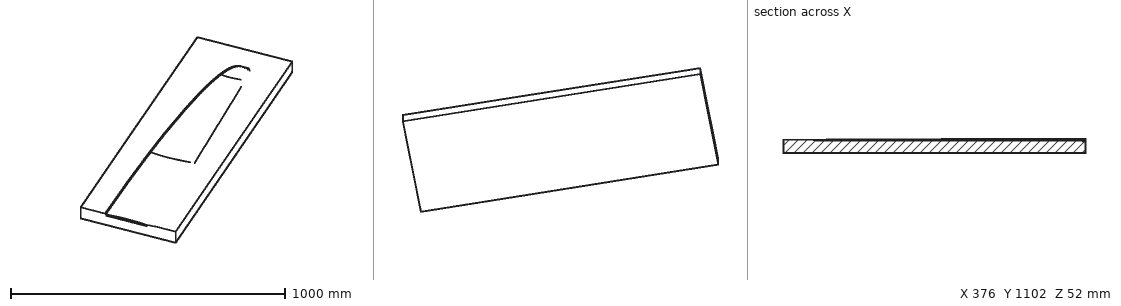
import cadquery as cq
import math

width = 376.0
length = 1102.0
height = 52.0
root_y = -length / 2
end_y = length / 2

parting_creases = [(-148.0, 0.0), (340.0, 1.9), (380.0, 2.0), (433.0, 2.5), (450.0, 2.8)]

tip_y = 453.0
tip_left_x = 26.0
tip_right_x = 55.0
root_left_x = -91.0
root_right_x = 105.0
shoulder_x = 69.0
shoulder_rounding = 11.0
leading_power = 0.41
sections_per_span = 4
trailing_bow = 3.0

wall_run = 3.0
wall_depth = 2.0
ramp_run = 7.0
land_run = 10.0
land_depth = 1.7
crease_offset = 26.0
crease_end_y = 380.0
crease_depth = 2.6
tip_belly_depth = 2.8
root_belly_depth = 7.0
clearance = 11.0

relief_left_x = -86.0
relief_right_x = 73.0
relief_reach = 9.0
relief_floor = 43.0


def parting_z(y):
    """Height of the parting face at a given Y."""
    if y <= parting_creases[0][0]:
        return height - parting_creases[0][1]
    for (y0, drop0), (y1, drop1) in zip(parting_creases, parting_creases[1:]):
        if y <= y1:
            return height - drop0 - (drop1 - drop0) * (y - y0) / (y1 - y0)
    return height - parting_creases[-1][1]


def leading_x(y):
    """Superelliptic leading edge, square to Y at the tip."""
    span = (y - root_y) / (tip_y - root_y)
    fullness = max(0.0, 1 - span**2) ** leading_power
    return tip_left_x + (root_left_x - tip_left_x) * fullness


def trailing_x(y):
    """Nearly straight trailing edge that turns in at the tip."""
    span = (y - root_y) / (tip_y - root_y)
    straight = root_right_x + (shoulder_x - root_right_x) * span
    turn_in = (shoulder_x - tip_right_x) * math.exp((y - tip_y) / shoulder_rounding)
    bow = 4 * trailing_bow * span * (1 - span)
    return straight + bow - turn_in


def blade_section(y, has_crease):
    left = leading_x(y)
    right = trailing_x(y)
    top = parting_z(y)
    chord_share = (right - left) / (root_right_x - root_left_x)
    belly = tip_belly_depth + (root_belly_depth - tip_belly_depth) * chord_share
    floor_left = left + wall_run
    crease = right - crease_offset
    land = right - ramp_run - land_run
    section = (
        cq.Workplane("XZ", origin=(0, y, 0))
        .moveTo(left, height + clearance)
        .lineTo(left, top)
        .lineTo(floor_left, top - wall_depth)
    )
    if has_crease:
        belly_point = ((floor_left + crease) / 2, top - belly)
        section = section.threePointArc(belly_point, (crease, top - crease_depth))
        section = section.lineTo(land, top - land_depth)
    else:
        belly_point = ((floor_left + land) / 2, top - belly)
        section = section.threePointArc(belly_point, (land, top - land_depth))
    return (
        section.lineTo(right - ramp_run, top - land_depth)
        .lineTo(right, top)
        .lineTo(right, height + clearance)
        .close()
        .val()
    )


def make_slab():
    crest = [(y, height - drop) for y, drop in parting_creases]
    outline = [(root_y, 0), (root_y, height)] + crest + [(end_y, crest[-1][1]), (end_y, 0)]
    return cq.Workplane("YZ").polyline(outline).close().extrude(width / 2, both=True)


def make_blade_span(start_y, stop_y, has_crease):
    """Smooth length of the blade cutter between two parting creases."""
    stations = [
        start_y + (stop_y - start_y) * math.sin(math.pi / 2 * i / sections_per_span)
        for i in range(sections_per_span + 1)
    ]
    wires = [blade_section(y, has_crease) for y in stations]
    return cq.Workplane(cq.Solid.makeLoft(wires))


def cut_blade(slab):
    crease_ys = [y for y, _ in parting_creases[:-1]]
    slab = slab.cut(make_blade_span(root_y, crease_ys[0], False))
    for start_y, stop_y in zip(crease_ys, crease_ys[1:] + [tip_y]):
        slab = slab.cut(make_blade_span(start_y, stop_y, stop_y <= crease_end_y))
    return slab


def make_root_relief():
    middle_x = (relief_left_x + relief_right_x) / 2
    return (
        cq.Workplane("XY", origin=(0, 0, relief_floor))
        .moveTo(relief_left_x, root_y)
        .threePointArc((middle_x, root_y + relief_reach), (relief_right_x, root_y))
        .close()
        .extrude(height)
    )


result = cut_blade(make_slab()).cut(make_root_relief())